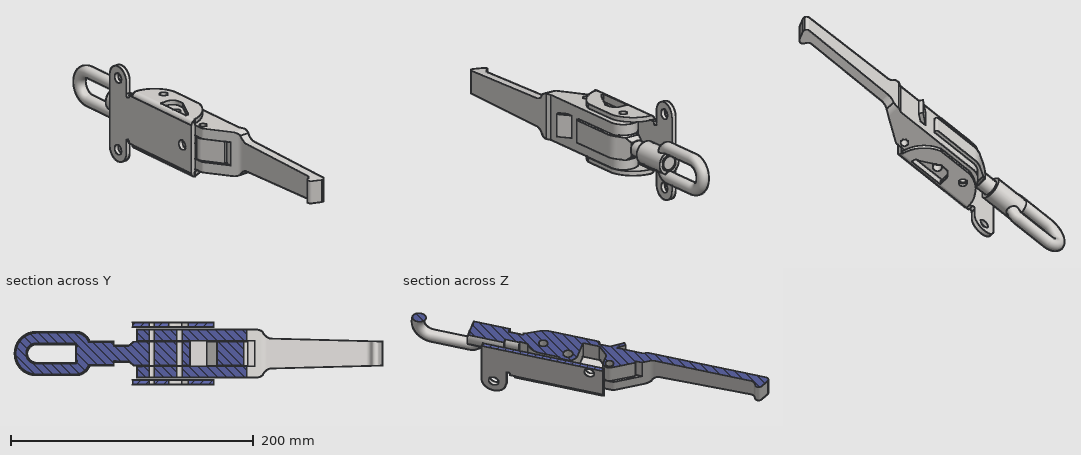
import cadquery as cq
import math

PULL_AXIS_Y = 18.0
PIVOT = (113.2, PULL_AXIS_Y)
PIVOT_HOLE = 7.0
LINK_PIN = (136.3, 11.8)
LINK_PIN_HOLE = 7.5
CATCH_PIN = (172.5, 10.5)
CATCH_PIN_HOLE = 6.5

SHEET = 4.0
BRACKET_WIDTH = 51.3
BRACKET_END_X = 170.0
FLANGE_START_X = 94.0
FLANGE_TOP_Y = 28.0
FLANGE_CREST = (115.3, 147.5)
FLANGE_FRONT_MID = (100.7, 20.0)
FLANGE_REAR_MID = (161.5, 18.8)
FLANGE_REAR_LAND = 1.0
BEND_RADIUS = 4.2
EAR_X = 76.0
EAR_WIDTH = 21.2
EAR_SPAN = 86.0
MOUNT_HOLE = 8.5
BASE_HOLE_X = 158.0
RELIEF_RADIUS = 1.8
WINDOW_START_X = 126.0
WINDOW_END_X = 157.8
WINDOW_TOP_Y = 18.0
WINDOW_RADIUS = 7.3
WINDOW_SLOPE_START_X = 137.8
WINDOW_SLOPE_END = (155.5, 8.2)
WINDOW_CORNER_MID = (157.2, 7.3)
WINDOW_CORNER_Y = 6.0

LEVER_WIDTH = 39.8
LEVER_BOTTOM_Y = 5.5
LEVER_TOP_Y = 30.3
NOSE_RADIUS = (LEVER_TOP_Y - LEVER_BOTTOM_Y) / 2
UNDERSIDE_RADIUS = 4.5
SLOPE_START_X = 177.2
SLOPE_END = (203.0, 22.5)
HANDLE_TOP_Y = 32.2
HANDLE_BOTTOM_Y = 24.0
HANDLE_START_X = 211.0
HANDLE_UNDERSIDE_X = 208.0
SHOULDER_X = 199.0
STEP_START_X = 195.0
HANDLE_ROOT_WIDTH = 25.0
HANDLE_TIP_WIDTH = 20.0
TIP_X = 303.5
HOOK_START_X = 290.0
HOOK_THROAT_MID = (292.2, 23.5)
HOOK_THROAT_END = (293.7, 22.0)
HOOK_FRONT = (295.0, 19.7)
HOOK_POINT = (297.7, 18.5)
HOOK_BACK = (300.0, 20.0)
TIP_ROUND_START_Y = 28.0
TIP_ROUND_MID = (303.0, 31.0)
TIP_ROUND_END_X = 300.5
SHOULDER_ROUND_MID = (202.7, 19.0)
SHOULDER_ROUND_END = (204.8, 17.5)
SHOULDER_HOLLOW_MID = (207.3, 14.3)
SLOT_WIDTH = 21.0
SLOT_END_X = 192.5
SLOT_ROOF_Y = 27.3
SHELF_END_X = 198.5
SHELF_Y = 19.0

INNER_WIDTH = 19.7
LINK_START_X = FLANGE_START_X
LINK_NECK_WIDTH = 12.7
LINK_NECK_LENGTH = 4.2
LINK_TOP_Y = 33.5
LINK_FRONT_BOTTOM_Y = 14.0
LINK_FRONT_TOP_Y = 24.3
LINK_RISE_END = (105.3, 30.5)
LINK_CREST_MID = (109.0, 32.5)
LINK_CHIN_MID = (105.0, 8.8)
LINK_CHIN_END = (101.5, 13.0)
LINK_END_X = 157.5
LINK_END_ROUND = 1.8
LINK_BOTTOM_Y = 5.8
LINK_EYE_RADIUS = 8.5
EYE_FLAT_Y = 4.2
CATCH_HUB_RADIUS = 5.5
CATCH_ANGLE = 33.0
CATCH_START_X = 158.7
CATCH_HEEL_Y = 19.0
TAB_ANGLE = 37.0
TAB_THICKNESS = 3.5
TAB_TIP = (178.0, 36.5)
TAB_LENGTH = 18.2

WIRE = 10.5
EYE_BEND_RADIUS = 12.7
SOCKET_DIAMETER = 20.0
SOCKET_START_X = 50.7
SOCKET_LENGTH = 31.3
ROD_DIAMETER = 14.0
ROD_END_DIAMETER = 11.8
WIRE_END_BEND = 6.7


def across(outline, width):
    """Extrude a closed XY outline equally to both sides of the Z mid-plane."""
    return outline.extrude(width / 2, both=True)


def cross_hole(center, diameter):
    """Cutter for a hole along Z through the whole part."""
    return across(cq.Workplane("XY").center(*center).circle(diameter / 2), EAR_SPAN)


def along_x(start_x, length, diameter):
    """Cylinder on the pull axis."""
    plane = cq.Workplane("YZ", origin=(start_x, PULL_AXIS_Y, 0))
    return plane.circle(diameter / 2).extrude(length)


def flange_outline():
    """Flange seen along Z: straight top between two arcs."""
    crest_start, crest_end = FLANGE_CREST
    return (
        cq.Workplane("XY")
        .moveTo(FLANGE_START_X, 0)
        .lineTo(FLANGE_START_X, SHEET)
        .threePointArc(FLANGE_FRONT_MID, (crest_start, FLANGE_TOP_Y))
        .lineTo(crest_end, FLANGE_TOP_Y)
        .threePointArc(FLANGE_REAR_MID, (BRACKET_END_X - FLANGE_REAR_LAND, SHEET))
        .lineTo(BRACKET_END_X, SHEET)
        .lineTo(BRACKET_END_X, 0)
        .close()
    )


def window_outline():
    """Window around the link pin: rounded front and a sloping rear edge."""
    shoulder_y = WINDOW_TOP_Y - WINDOW_RADIUS
    arc_x = WINDOW_START_X + WINDOW_RADIUS
    diagonal = WINDOW_RADIUS * math.sqrt(0.5)
    return (
        cq.Workplane("XY")
        .moveTo(WINDOW_START_X, SHEET)
        .lineTo(WINDOW_START_X, shoulder_y)
        .threePointArc((arc_x - diagonal, shoulder_y + diagonal), (arc_x, WINDOW_TOP_Y))
        .lineTo(WINDOW_SLOPE_START_X, WINDOW_TOP_Y)
        .lineTo(*WINDOW_SLOPE_END)
        .threePointArc(WINDOW_CORNER_MID, (WINDOW_END_X, WINDOW_CORNER_Y))
        .lineTo(WINDOW_END_X, SHEET)
        .close()
    )


def plate(outline_xz):
    """Extrude an outline on the XZ plane from Y = 0 to the sheet thickness."""
    return outline_xz.extrude(-SHEET)


def make_bracket():
    """Base plate with two ears and two bent-up flanges."""
    channel = across(flange_outline(), BRACKET_WIDTH)
    channel = channel.faces("<Y").edges("|X").fillet(BEND_RADIUS)
    inner_width = BRACKET_WIDTH - 2 * SHEET
    inside = cq.Workplane("XY").box(
        2 * BRACKET_END_X, FLANGE_TOP_Y, inner_width, centered=(True, False, True)
    )
    channel = channel.cut(inside.translate((0, SHEET, 0)))

    ears = plate(cq.Workplane("XZ").center(EAR_X, 0).slot2D(EAR_SPAN, EAR_WIDTH, 90))
    base_length = BRACKET_END_X - EAR_X
    base = plate(
        cq.Workplane("XZ").center(EAR_X + base_length / 2, 0).rect(base_length, inner_width)
    )
    bracket = channel.union(base).union(ears)

    mount_z = (EAR_SPAN - EAR_WIDTH) / 2
    mount_points = [(EAR_X, mount_z), (EAR_X, -mount_z), (BASE_HOLE_X, 0)]
    bracket = bracket.cut(plate(cq.Workplane("XZ").pushPoints(mount_points).circle(MOUNT_HOLE / 2)))

    relief_x = EAR_X + EAR_WIDTH / 2 + RELIEF_RADIUS
    relief_z = inner_width / 2 - RELIEF_RADIUS / 2
    reliefs = cq.Workplane("XZ").pushPoints([(relief_x, relief_z), (relief_x, -relief_z)])
    bracket = bracket.cut(plate(reliefs.circle(RELIEF_RADIUS)))

    bracket = bracket.cut(across(window_outline(), BRACKET_WIDTH))
    return bracket.cut(cross_hole(PIVOT, PIVOT_HOLE))


def lever_side():
    """Lever seen along Z: round nose, rising underside and hooked handle tip."""
    nose_x, nose_y = PIVOT
    outline = (
        cq.Workplane("XY")
        .moveTo(nose_x, LEVER_BOTTOM_Y)
        .lineTo(SLOPE_START_X, LEVER_BOTTOM_Y)
        .lineTo(*SLOPE_END)
        .tangentArcPoint((HANDLE_UNDERSIDE_X, HANDLE_BOTTOM_Y), relative=False)
        .lineTo(HOOK_START_X, HANDLE_BOTTOM_Y)
        .threePointArc(HOOK_THROAT_MID, HOOK_THROAT_END)
        .lineTo(*HOOK_FRONT)
        .threePointArc(HOOK_POINT, HOOK_BACK)
        .lineTo(TIP_X, TIP_ROUND_START_Y)
        .threePointArc(TIP_ROUND_MID, (TIP_ROUND_END_X, HANDLE_TOP_Y))
        .lineTo(SHOULDER_X, HANDLE_TOP_Y)
        .lineTo(STEP_START_X, LEVER_TOP_Y)
        .lineTo(nose_x, LEVER_TOP_Y)
        .threePointArc((nose_x - NOSE_RADIUS, nose_y), (nose_x, LEVER_BOTTOM_Y))
        .close()
    )
    lever = across(outline, LEVER_WIDTH)
    rise_corner = cq.selectors.NearestToPointSelector((SLOPE_START_X, LEVER_BOTTOM_Y, 0))
    return lever.edges("|Z").edges(rise_corner).fillet(UNDERSIDE_RADIUS)


def lever_plan():
    """Lever seen along Y, mirrored about the mid-plane: wide body, shoulder and tapering handle."""
    body = LEVER_WIDTH / 2
    root = HANDLE_ROOT_WIDTH / 2
    tip = HANDLE_TIP_WIDTH / 2
    half = (
        cq.Workplane("XZ")
        .moveTo(0, 0)
        .lineTo(0, body)
        .lineTo(SHOULDER_X, body)
        .threePointArc(SHOULDER_ROUND_MID, SHOULDER_ROUND_END)
        .threePointArc(SHOULDER_HOLLOW_MID, (HANDLE_START_X, root))
        .lineTo(TIP_X, tip)
        .lineTo(TIP_X, 0)
        .close()
        .extrude(-2 * HANDLE_TOP_Y)
    )
    return half.union(half.mirror("XY"))


def make_lever():
    """Lever with a slot from below for the link and catch."""
    lever = lever_side().intersect(lever_plan())
    slot = cq.Workplane("XY").box(
        SLOT_END_X, SLOT_ROOF_Y, SLOT_WIDTH, centered=(False, False, True)
    )
    shelf = cq.Workplane("XY").box(SHELF_END_X, SHELF_Y, SLOT_WIDTH, centered=(False, False, True))
    return lever.cut(slot).cut(shelf)


def make_link():
    """Link from the rod, through the lever slot, to the eye around the link pin hole."""
    pin_x, pin_y = LINK_PIN
    outline = (
        cq.Workplane("XY")
        .moveTo(LINK_START_X, LINK_FRONT_BOTTOM_Y)
        .lineTo(LINK_START_X, LINK_FRONT_TOP_Y)
        .lineTo(*LINK_RISE_END)
        .threePointArc(LINK_CREST_MID, (PIVOT[0], LINK_TOP_Y))
        .lineTo(LINK_END_X - LINK_END_ROUND, LINK_TOP_Y)
        .radiusArc((LINK_END_X, LINK_TOP_Y - LINK_END_ROUND), LINK_END_ROUND)
        .lineTo(LINK_END_X, SLOT_ROOF_Y)
        .lineTo(pin_x + LINK_EYE_RADIUS, SLOT_ROOF_Y)
        .lineTo(pin_x + LINK_EYE_RADIUS, pin_y)
        .lineTo(pin_x, pin_y)
        .lineTo(pin_x, LINK_BOTTOM_Y)
        .lineTo(PIVOT[0], LINK_BOTTOM_Y)
        .threePointArc(LINK_CHIN_MID, LINK_CHIN_END)
        .close()
    )
    plan = cq.Workplane("XZ").polyline([
        (LINK_START_X, -LINK_NECK_WIDTH / 2),
        (LINK_START_X, LINK_NECK_WIDTH / 2),
        (LINK_START_X + LINK_NECK_LENGTH, INNER_WIDTH / 2),
        (LINK_END_X, INNER_WIDTH / 2),
        (LINK_END_X, -INNER_WIDTH / 2),
        (LINK_START_X + LINK_NECK_LENGTH, -INNER_WIDTH / 2),
    ]).close().extrude(-2 * LINK_TOP_Y)
    eye = across(cq.Workplane("XY").center(pin_x, pin_y).circle(LINK_EYE_RADIUS), INNER_WIDTH)
    below_flat = cq.Workplane("XY").box(
        2 * pin_x, EYE_FLAT_Y, LEVER_WIDTH, centered=(False, False, True)
    )
    return across(outline, INNER_WIDTH).intersect(plan).union(eye.cut(below_flat))


def make_catch():
    """Catch with a round hub, a rising arm and a tab standing out of the lever top."""
    hub_x, hub_y = CATCH_PIN
    angle = math.radians(CATCH_ANGLE)
    tangent_x = hub_x + CATCH_HUB_RADIUS * math.sin(angle)
    tangent_y = hub_y - CATCH_HUB_RADIUS * math.cos(angle)
    end_y = tangent_y + (SLOT_END_X - tangent_x) * math.tan(angle)
    heel_x = hub_x - CATCH_HUB_RADIUS
    outline = (
        cq.Workplane("XY")
        .moveTo(SLOT_END_X, SLOT_ROOF_Y)
        .lineTo(SLOT_END_X, end_y)
        .lineTo(tangent_x, tangent_y)
        .threePointArc((hub_x, hub_y - CATCH_HUB_RADIUS), (heel_x, hub_y))
        .lineTo(heel_x, CATCH_HEEL_Y)
        .lineTo(CATCH_START_X, SLOT_ROOF_Y)
        .close()
    )
    tab = (
        cq.Workplane("XY")
        .box(TAB_LENGTH, TAB_THICKNESS, INNER_WIDTH)
        .translate((-TAB_LENGTH / 2, 0, 0))
        .rotate((0, 0, 0), (0, 0, 1), TAB_ANGLE)
        .translate((*TAB_TIP, 0))
    )
    return across(outline, INNER_WIDTH).union(tab)


def rod_end_groove():
    """Cutter for the groove left by the chamfered rod end, flush in the socket's open end."""
    outer = ROD_DIAMETER / 2
    inner = ROD_END_DIAMETER / 2
    return (
        cq.Workplane("XY", origin=(SOCKET_START_X, PULL_AXIS_Y, 0))
        .polyline([(0, inner), (0, outer), (outer - inner, outer)])
        .close()
        .revolve(360, (0, 0, 0), (1, 0, 0))
    )


def make_pull_eye():
    """Bent wire eye, socket and rod."""
    bend = EYE_BEND_RADIUS
    bend_x = bend + WIRE / 2
    end_bend_z = bend - WIRE_END_BEND
    end_x = SOCKET_START_X + WIRE_END_BEND
    path = (
        cq.Workplane("XZ", origin=(0, PULL_AXIS_Y, 0))
        .moveTo(end_x, 0)
        .lineTo(end_x, end_bend_z)
        .radiusArc((SOCKET_START_X, bend), -WIRE_END_BEND)
        .lineTo(bend_x, bend)
        .threePointArc((bend_x - bend, 0), (bend_x, -bend))
        .lineTo(SOCKET_START_X, -bend)
        .radiusArc((end_x, -end_bend_z), -WIRE_END_BEND)
        .lineTo(end_x, 0)
    )
    start = cq.Workplane("XY", origin=(end_x, PULL_AXIS_Y, 0))
    wire = start.circle(WIRE / 2).sweep(path)
    socket = along_x(SOCKET_START_X, SOCKET_LENGTH, SOCKET_DIAMETER)
    socket_end_x = SOCKET_START_X + SOCKET_LENGTH
    rod = along_x(socket_end_x, LINK_START_X - socket_end_x, ROD_DIAMETER)
    return wire.union(socket).union(rod).cut(rod_end_groove())


def make_lever_assembly():
    """Lever, link, catch and pull eye as one solid with the pin holes."""
    lever = make_lever().union(make_link()).union(make_catch()).union(make_pull_eye())
    lever = lever.cut(cross_hole(PIVOT, PIVOT_HOLE))
    lever = lever.cut(cross_hole(LINK_PIN, LINK_PIN_HOLE))
    return lever.cut(cross_hole(CATCH_PIN, CATCH_PIN_HOLE))


bracket = make_bracket()
pull_lever = make_lever_assembly()
result = cq.Compound.makeCompound([bracket.val(), pull_lever.val()])